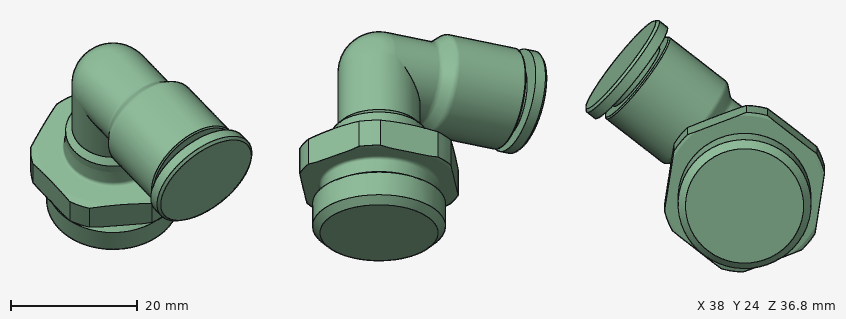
import cadquery as cq
import math


TUBE_R = 6.5
SOCKET_R = 8.15
OVERALL_HEIGHT = 36.8
AXIS_Z = OVERALL_HEIGHT - SOCKET_R

FLARE_START_X = 7.6
FLARE_ANGLE = math.radians(40)
FLARE_BLEND_R = 1.05
SOCKET_END_X = 21.8
SOCKET_CHAMFER = 0.23

COLLAR_STEM_R = 5.85
FLANGE_START_X = 22.9
FLANGE_END_X = 25.0
FLANGE_SEMI_Y = 9.25
FLANGE_SEMI_Z = 7.98
FLANGE_CHAMFER = 0.4

THREAD_R = 10.5
THREAD_CHAMFER = 1.18
THREAD_TOP_Z = 5.2
RELIEF_R = 9.15
RELIEF_START_Z = 6.05
RELIEF_FILLET = 0.5

HEX_ACROSS_FLATS = 24.0
HEX_CORNER_R = 13.0
HEX_BOTTOM_Z = 8.55
HEX_TOP_Z = 13.5
HEX_TOP_FACE_R = 11.95
HEX_TOP_CHAMFER = 0.3
HEX_BOTTOM_CHAMFER = 0.15

SHOULDER_R = 7.5
SHOULDER_FOOT_R = 7.75
SHOULDER_FILLET = 0.5
TAPER_TOP_Z = 16.1
SHOULDER_BEVEL_Z = 17.6


def revolve_about_z(profile):
    """Turn a closed (radius, z) profile about the Z axis."""
    return profile.close().revolve(360, (0, 0, 0), (0, 1, 0))


def make_threaded_end():
    fillet_start_z = HEX_BOTTOM_Z - RELIEF_FILLET
    return revolve_about_z(
        cq.Workplane("XZ")
        .lineTo(THREAD_R - THREAD_CHAMFER, 0)
        .lineTo(THREAD_R, THREAD_CHAMFER)
        .lineTo(THREAD_R, THREAD_TOP_Z)
        .lineTo(RELIEF_R, RELIEF_START_Z)
        .lineTo(RELIEF_R, fillet_start_z)
        .tangentArcPoint((RELIEF_FILLET, RELIEF_FILLET))
        .lineTo(0, HEX_BOTTOM_Z)
    )


def make_hexagon():
    prism = (
        cq.Workplane("XY", origin=(0, 0, HEX_BOTTOM_Z))
        .polygon(6, HEX_ACROSS_FLATS / math.cos(math.pi / 6))
        .extrude(HEX_TOP_Z - HEX_BOTTOM_Z)
    )
    chamfer_run_per_rise = (HEX_CORNER_R - HEX_TOP_FACE_R) / HEX_TOP_CHAMFER
    bottom_face_r = HEX_CORNER_R - HEX_BOTTOM_CHAMFER * chamfer_run_per_rise
    corner_envelope = revolve_about_z(
        cq.Workplane("XZ")
        .moveTo(0, HEX_BOTTOM_Z)
        .lineTo(bottom_face_r, HEX_BOTTOM_Z)
        .lineTo(HEX_CORNER_R, HEX_BOTTOM_Z + HEX_BOTTOM_CHAMFER)
        .lineTo(HEX_CORNER_R, HEX_TOP_Z - HEX_TOP_CHAMFER)
        .lineTo(HEX_TOP_FACE_R, HEX_TOP_Z)
        .lineTo(0, HEX_TOP_Z)
    )
    return prism.intersect(corner_envelope)


def make_vertical_leg():
    """Tube and shoulder, from the centre of the elbow down to the hexagon."""
    shoulder_bevel_top_z = SHOULDER_BEVEL_Z + SHOULDER_R - TUBE_R
    return revolve_about_z(
        cq.Workplane("XZ")
        .moveTo(0, AXIS_Z)
        .lineTo(TUBE_R, AXIS_Z)
        .lineTo(TUBE_R, shoulder_bevel_top_z)
        .lineTo(SHOULDER_R, SHOULDER_BEVEL_Z)
        .lineTo(SHOULDER_R, TAPER_TOP_Z)
        .lineTo(SHOULDER_FOOT_R, HEX_TOP_Z + SHOULDER_FILLET)
        .tangentArcPoint((SHOULDER_FILLET, -SHOULDER_FILLET))
        .lineTo(0, HEX_TOP_Z)
    )


def make_horizontal_leg():
    """Tube, flared socket and collar stem, from the centre of the elbow outwards."""
    blend_run = FLARE_BLEND_R * math.sin(FLARE_ANGLE)
    blend_rise = FLARE_BLEND_R * (1 - math.cos(FLARE_ANGLE))
    cone_rise = SOCKET_R - TUBE_R - 2 * blend_rise
    cone_run = cone_rise / math.tan(FLARE_ANGLE)
    return (
        cq.Workplane("XZ", origin=(0, 0, AXIS_Z))
        .lineTo(0, TUBE_R)
        .lineTo(FLARE_START_X, TUBE_R)
        .tangentArcPoint((blend_run, blend_rise))
        .line(cone_run, cone_rise)
        .tangentArcPoint((blend_run, blend_rise))
        .lineTo(SOCKET_END_X - SOCKET_CHAMFER, SOCKET_R)
        .lineTo(SOCKET_END_X, SOCKET_R - SOCKET_CHAMFER)
        .lineTo(SOCKET_END_X, COLLAR_STEM_R)
        .lineTo(FLANGE_START_X, COLLAR_STEM_R)
        .lineTo(FLANGE_START_X, 0)
        .close()
        .revolve(360, (0, 0, 0), (1, 0, 0))
    )


def make_flange():
    return (
        cq.Workplane("YZ", origin=(FLANGE_START_X, 0, AXIS_Z))
        .ellipse(FLANGE_SEMI_Y, FLANGE_SEMI_Z)
        .extrude(FLANGE_END_X - FLANGE_START_X)
        .faces(">X")
        .chamfer(FLANGE_CHAMFER)
    )


elbow_ball = cq.Workplane("XY", origin=(0, 0, AXIS_Z)).sphere(TUBE_R)

result = (
    make_threaded_end()
    .union(make_hexagon())
    .union(make_vertical_leg())
    .union(elbow_ball)
    .union(make_horizontal_leg())
    .union(make_flange())
)